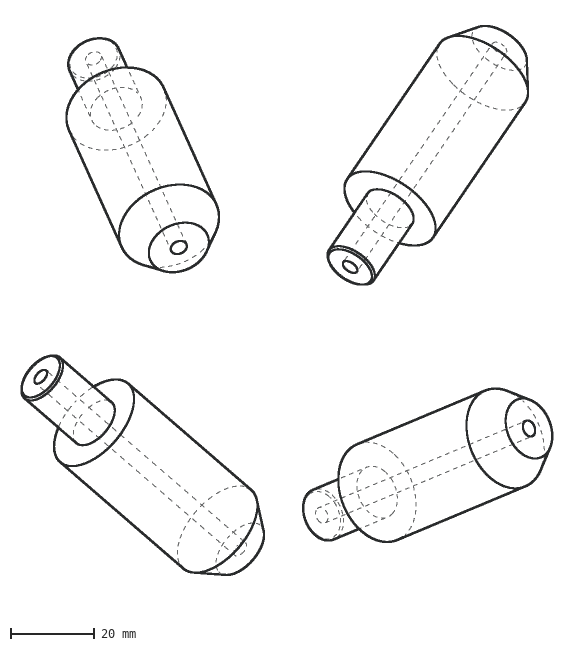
import cadquery as cq

total_length = 75.0
body_diameter = 25.0
shank_diameter = 13.0
shank_length = 20.0
shank_chamfer = 0.5
nose_length = 8.55
nose_end_diameter = 15.0
bore_diameter = 4.0

shank_end = -total_length / 2
shoulder = shank_end + shank_length
nose_end = total_length / 2
nose_start = nose_end - nose_length

body_radius = body_diameter / 2
shank_radius = shank_diameter / 2
nose_end_radius = nose_end_diameter / 2
bore_radius = bore_diameter / 2

half_section = (
    cq.Workplane("XY")
    .moveTo(shank_end, bore_radius)
    .lineTo(shank_end, shank_radius - shank_chamfer)
    .lineTo(shank_end + shank_chamfer, shank_radius)
    .lineTo(shoulder, shank_radius)
    .lineTo(shoulder, body_radius)
    .lineTo(nose_start, body_radius)
    .lineTo(nose_end, nose_end_radius)
    .lineTo(nose_end, bore_radius)
    .close()
)

result = half_section.revolve(360, (0, 0, 0), (1, 0, 0))